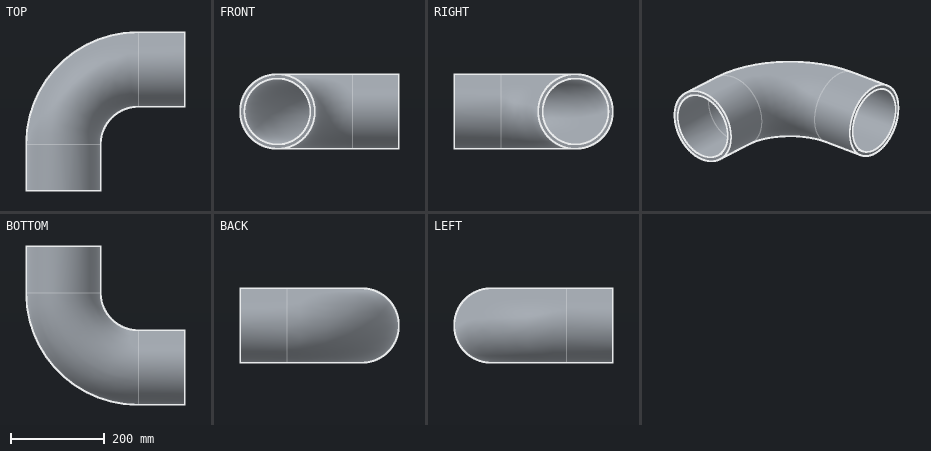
import cadquery as cq

outer_diameter = 160.0
inner_diameter = 141.0
bend_radius = 160.0
straight_length = 100.0
bend_angle = 90.0

inlet_plane = cq.Plane(origin=(0, 0, 0), xDir=(1, 0, 0), normal=(0, -1, 0))
outlet_plane = cq.Plane(origin=(bend_radius, bend_radius, 0), xDir=(0, 1, 0), normal=(1, 0, 0))


def pipe_section(plane):
    """Ring-shaped cross-section of the pipe wall."""
    return cq.Workplane(plane).circle(outer_diameter / 2).circle(inner_diameter / 2)


def straight_end(plane):
    """Straight pipe running outward from one end of the bend."""
    return pipe_section(plane).extrude(straight_length)


def bend():
    """Pipe wall revolved about a vertical axis at the centre of the bend."""
    axis_start = (bend_radius, 0)
    axis_end = (bend_radius, -1)
    return pipe_section(inlet_plane).revolve(bend_angle, axis_start, axis_end)


result = bend().union(straight_end(inlet_plane)).union(straight_end(outlet_plane))